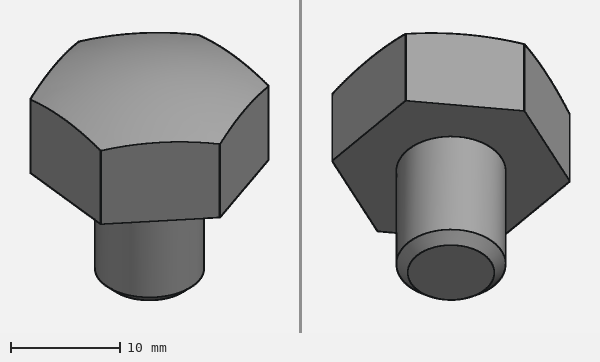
import cadquery as cq
import math

total_height = 22.0
head_height = 10.0
across_flats = 19.0
corner_diameter = 21.9
dome_radius = 29.7
shank_diameter = 10.0
tip_chamfer_height = 1.0
tip_diameter = 7.92

shank_length = total_height - head_height
sharp_corner_diameter = across_flats / math.cos(math.radians(30))
corner_radius = corner_diameter / 2
dome_drop = dome_radius - math.sqrt(dome_radius**2 - corner_radius**2)
dome_mid_radius = corner_radius / 2
dome_mid_drop = dome_radius - math.sqrt(dome_radius**2 - dome_mid_radius**2)


def make_head():
    """Hexagonal prism with a spherical top and slightly turned corners."""
    hexagon = (
        cq.Workplane("XY", origin=(0, 0, shank_length))
        .polygon(6, sharp_corner_diameter)
        .extrude(head_height)
    )
    domed_blank = (
        cq.Workplane("XZ")
        .moveTo(0, shank_length)
        .lineTo(corner_radius, shank_length)
        .lineTo(corner_radius, total_height - dome_drop)
        .threePointArc((dome_mid_radius, total_height - dome_mid_drop), (0, total_height))
        .close()
        .revolve(360, (0, 0), (0, 1))
    )
    return hexagon.intersect(domed_blank)


def make_shank():
    """Plain round shank with a chamfered tip."""
    return (
        cq.Workplane("XZ")
        .lineTo(tip_diameter / 2, 0)
        .lineTo(shank_diameter / 2, tip_chamfer_height)
        .lineTo(shank_diameter / 2, shank_length)
        .lineTo(0, shank_length)
        .close()
        .revolve(360, (0, 0), (0, 1))
    )


result = make_head().union(make_shank())